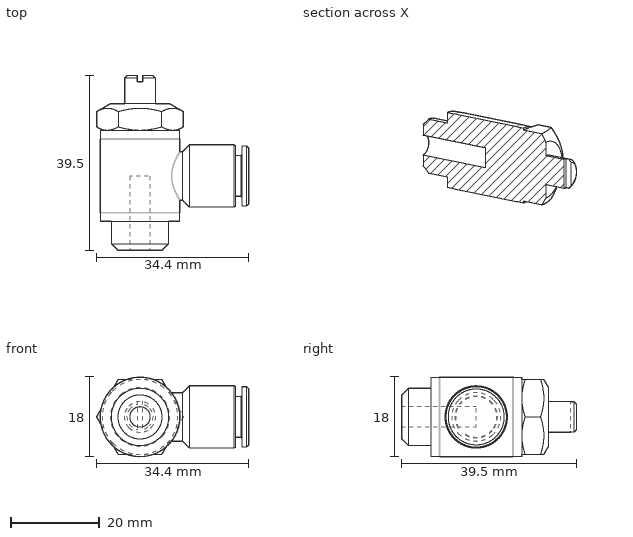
import math

import cadquery as cq


stem_end_y = -16.81
stem_radius = 6.48
stem_chamfer = 1.5
bore_radius = 2.3
bore_end_y = 0.0

collar_bottom_y = -10.25
collar_top_y = 10.3
collar_radius = 8.95
collar_length = 1.85
body_radius = 9.0
edge_bevel_length = 0.2

hex_height = 6.05
hex_across_flats = 17.0
hex_bevel_angle = 30.0
hex_corner_radius = hex_across_flats / 2 / math.cos(math.pi / 6)
hex_top_face_radius = 6.66
hex_bottom_face_radius = hex_across_flats / 2

screw_end_y = 22.7
screw_radius = 3.5
screw_chamfer = 0.6
slot_width = 1.2
slot_depth = 1.43

neck_radius = 5.5
neck_end_x = 9.6
sleeve_radius = 7.05
sleeve_end_x = 21.6
sleeve_bevel_length = 0.4
sleeve_bevel_height = 0.2
groove_radius = 4.62
groove_flare_length = 0.2
groove_flare_height = 0.15
flange_start_x = 23.0
flange_radius = 6.82
flange_chamfer = 0.5
port_end_x = 24.6
junction_fillet = 0.15


def revolve_about_y(profile):
    """Solid of revolution about Y from (radius, y) points, closed along the axis."""
    points = [(0, profile[0][1])] + profile + [(0, profile[-1][1])]
    return cq.Workplane("XY").polyline(points).close().revolve(360, (0, 0, 0), (0, 1, 0))


def revolve_about_x(profile):
    """Solid of revolution about X from (x, radius) points, closed along the axis."""
    points = [(profile[0][0], 0)] + profile + [(profile[-1][0], 0)]
    return cq.Workplane("XY").polyline(points).close().revolve(360, (0, 0, 0), (1, 0, 0))


def make_body():
    """Body cylinder with a short bevel down to the collar at each end."""
    lower_seam_y = collar_bottom_y + collar_length
    upper_seam_y = collar_top_y - collar_length
    return revolve_about_y([
        (collar_radius, collar_bottom_y),
        (collar_radius, lower_seam_y),
        (body_radius, lower_seam_y + edge_bevel_length),
        (body_radius, upper_seam_y - edge_bevel_length),
        (collar_radius, upper_seam_y),
        (collar_radius, collar_top_y),
    ])


def make_stem():
    """Plain stem for the mounting thread, with a chamfered end."""
    return revolve_about_y([
        (stem_radius - stem_chamfer, stem_end_y),
        (stem_radius, stem_end_y + stem_chamfer),
        (stem_radius, collar_bottom_y),
    ])


def make_hex_nut():
    """Hexagon with corners on +X and -X, its corners bevelled by a cone at each end."""
    slope = math.tan(math.radians(hex_bevel_angle))
    hex_top_y = collar_top_y + hex_height
    bottom_bevel_height = slope * (hex_corner_radius - hex_bottom_face_radius)
    top_bevel_height = slope * (hex_corner_radius - hex_top_face_radius)
    prism = (
        cq.Workplane("XZ", origin=(0, hex_top_y, 0))
        .polygon(6, 2 * hex_corner_radius)
        .extrude(hex_height)
    )
    envelope = revolve_about_y([
        (hex_bottom_face_radius, collar_top_y),
        (hex_corner_radius, collar_top_y + bottom_bevel_height),
        (hex_corner_radius, hex_top_y - top_bevel_height),
        (hex_top_face_radius, hex_top_y),
    ])
    return prism.intersect(envelope)


def make_screw():
    """Adjusting screw with a screwdriver slot running along Z."""
    screw = revolve_about_y([
        (screw_radius, collar_top_y + hex_height),
        (screw_radius, screw_end_y - screw_chamfer),
        (screw_radius - screw_chamfer, screw_end_y),
    ])
    slot = cq.Workplane("XY").box(slot_width, 2 * slot_depth, 2 * screw_radius)
    return screw.cut(slot.translate((0, screw_end_y, 0)))


def make_port():
    """Neck, cone, sleeve, groove and release flange as one turned shape."""
    return revolve_about_x([
        (0, neck_radius),
        (neck_end_x, neck_radius),
        (neck_end_x + sleeve_radius - neck_radius, sleeve_radius),
        (sleeve_end_x - sleeve_bevel_length, sleeve_radius),
        (sleeve_end_x, sleeve_radius - sleeve_bevel_height),
        (sleeve_end_x, groove_radius),
        (flange_start_x - groove_flare_length, groove_radius),
        (flange_start_x, groove_radius + groove_flare_height),
        (flange_start_x, flange_radius),
        (port_end_x - flange_chamfer, flange_radius),
        (port_end_x, flange_radius - flange_chamfer),
    ])


def fillet_port_junction(part):
    """Round the edge where the neck leaves the cylindrical body."""
    half_width = neck_radius + junction_fillet
    junction_box = cq.selectors.BoxSelector(
        (0, -half_width, -half_width),
        (neck_end_x, half_width, half_width),
        boundingbox=True,
    )
    return part.edges(junction_box).fillet(junction_fillet)


def make_bore():
    """Blind bore from the stem end to the port axis."""
    return revolve_about_y([(bore_radius, stem_end_y), (bore_radius, bore_end_y)])


housing = fillet_port_junction(make_body().union(make_port()))
result = housing.union(make_stem()).union(make_hex_nut()).union(make_screw()).cut(make_bore())